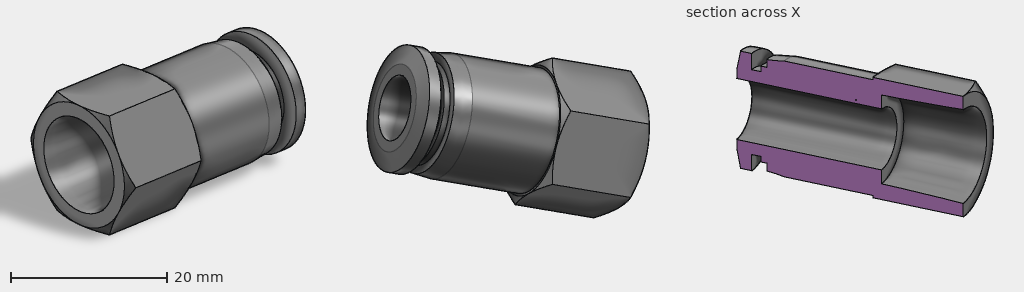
import cadquery as cq
import math

length = 32.55
hex_flats = 17.0
hex_length = 13.0
chamfer_angle = 30.0

body_diameter = 16.37
body_end = 25.7
shoulder_diameter = 15.75
shoulder_end = 28.22
ring_diameter = 13.57
ring_end = 29.07
neck_diameter = 12.0
neck_end = 30.37

collar_diameter = 16.57
collar_rim_end = 32.03
collar_face_diameter = 11.4

socket_mouth_diameter = 13.15
socket_floor_diameter = 12.45
socket_depth = 11.72
hole_diameter = 8.53


def revolve_about_y(points):
    """Turn a closed (radius, y) outline about the Y axis."""
    return cq.Workplane("XY").polyline(points).close().revolve(360, (0, 0, 0), (0, 1, 0))


def make_hexagon():
    """Hexagon with corners on X, its corners turned conical at both ends."""
    corner_radius = hex_flats / 2 / math.cos(math.pi / 6)
    face_radius = hex_flats / 2
    chamfer_height = (corner_radius - face_radius) * math.tan(math.radians(chamfer_angle))
    prism = cq.Workplane("XZ").polygon(6, 2 * corner_radius).extrude(-hex_length)
    envelope = revolve_about_y([
        (0, 0),
        (face_radius, 0),
        (corner_radius, chamfer_height),
        (corner_radius, hex_length - chamfer_height),
        (face_radius, hex_length),
        (0, hex_length),
    ])
    return prism.intersect(envelope)


def make_body():
    """Barrel, tapered shoulder, ring, neck and release collar."""
    return revolve_about_y([
        (0, 0),
        (body_diameter / 2, 0),
        (body_diameter / 2, body_end),
        (shoulder_diameter / 2, shoulder_end),
        (ring_diameter / 2, shoulder_end),
        (ring_diameter / 2, ring_end),
        (neck_diameter / 2, ring_end),
        (neck_diameter / 2, neck_end),
        (collar_diameter / 2, neck_end),
        (collar_diameter / 2, collar_rim_end),
        (collar_face_diameter / 2, length),
        (0, length),
    ])


def make_bore():
    """Tapered socket followed by the through hole."""
    return revolve_about_y([
        (0, 0),
        (socket_mouth_diameter / 2, 0),
        (socket_floor_diameter / 2, socket_depth),
        (hole_diameter / 2, socket_depth),
        (hole_diameter / 2, length),
        (0, length),
    ])


result = make_hexagon().union(make_body()).cut(make_bore())